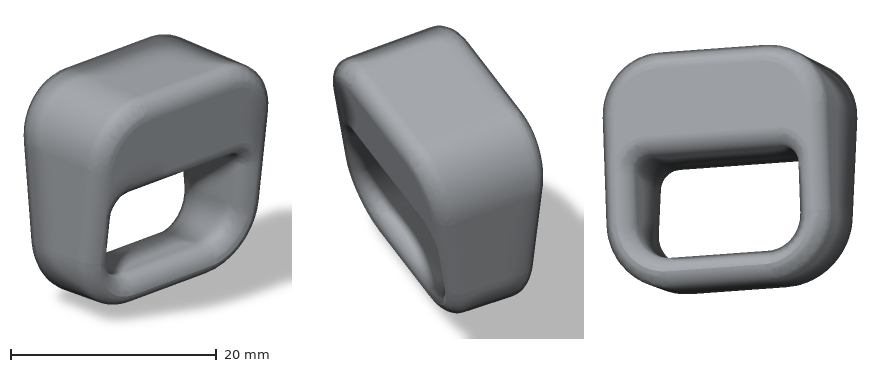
import cadquery as cq
import math

body_width = 23.0
top_height = 11.5
top_tilt = 1.65
top_radius = 6.05
bottom_height = -11.38
bottom_tilt = 4.4
bottom_radius = 6.53
rim_fillet = 1.72

left_face_x = -5.53
left_lean = 6.1
right_face_x = 5.2
right_lean = 7.7

opening_width = 16.86
ceiling_height = 1.49
ceiling_tilt = top_tilt
ceiling_radius = 1.7
floor_height = -8.4
floor_tilt = 4.7
floor_radius = 3.44
mouth_fillet = rim_fillet

stock_size = 46.45


def tilted_slab(width, end_height, corner_radius, tilt, end):
    """Long slab along X with one rounded end (">Z" or "<Z") that meets the Z axis at end_height."""
    toward_middle = -stock_size / 2 if end == ">Z" else stock_size / 2
    slab = cq.Workplane("XY").box(stock_size, width, stock_size)
    slab = slab.edges(f"{end} and |X").fillet(corner_radius)
    slab = slab.translate((0, 0, toward_middle))
    return slab.rotate((0, 0, 0), (0, 1, 0), -tilt).translate((0, 0, end_height))


def rounded_bar(width, top, bottom):
    """Bar along X between a rounded top and a rounded bottom, each given as (height, radius, tilt)."""
    upper = tilted_slab(width, *top, ">Z")
    lower = tilted_slab(width, *bottom, "<Z")
    return upper.intersect(lower).clean()


def wedge():
    """Oversized block bounded along X by the two leaning side faces."""
    half = stock_size / 2
    left_run = half * math.tan(math.radians(left_lean))
    right_run = half * math.tan(math.radians(right_lean))
    outline = [
        (left_face_x - left_run, half),
        (right_face_x + right_run, half),
        (right_face_x - right_run, -half),
        (left_face_x + left_run, -half),
    ]
    return cq.Workplane("XZ").polyline(outline).close().extrude(half, both=True)


def outer_body():
    """Solid head with rounded rims around both side faces."""
    bar = rounded_bar(
        body_width,
        (top_height, top_radius, top_tilt),
        (bottom_height, bottom_radius, bottom_tilt),
    )
    body = bar.intersect(wedge())
    return body.faces("<X or >X").edges().fillet(rim_fillet)


def pierced_wedge():
    """Oversized wedge with the finger opening and its rounded mouths."""
    opening = rounded_bar(
        opening_width,
        (ceiling_height, ceiling_radius, ceiling_tilt),
        (floor_height, floor_radius, floor_tilt),
    )
    reach = 0.4 * stock_size
    mouths = cq.selectors.BoxSelector((-reach, -reach, -reach), (reach, reach, reach))
    pierced = wedge().cut(opening)
    return pierced.faces("<X or >X").edges(mouths).fillet(mouth_fillet)


result = outer_body().intersect(pierced_wedge())